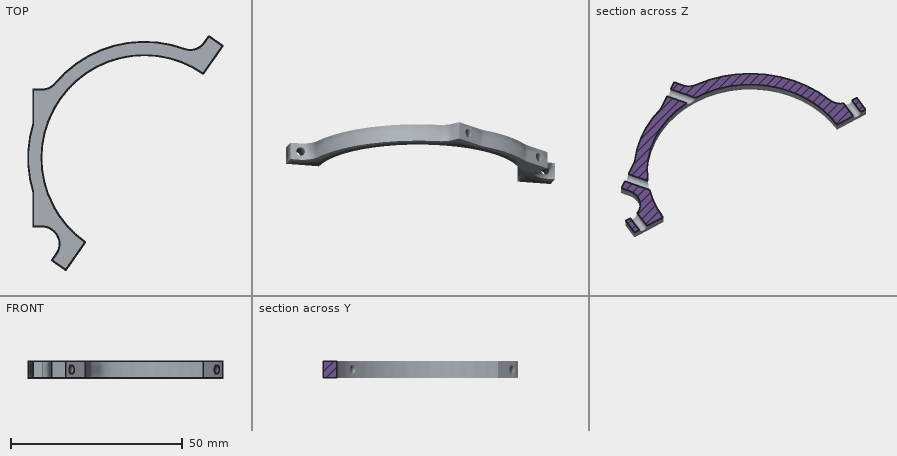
import cadquery as cq
import math

inner_radius = 30.0
outer_radius = 34.0
thickness = 5.0
split_angle = 55

tab_tip_radius = 40.0
tab_width = 5.0
tab_hole_radius = 37.0

pad_half_height = 20.05
pad_chord_half_height = 10.0
pad_face_x = -math.sqrt(outer_radius**2 - pad_chord_half_height**2)
pad_hole_y = 16.0

fillet_radius = 5.0
hole_diameter = 2.5

fillet_center_radius = outer_radius + fillet_radius


def ring_point(radius, angle):
    """Point at a polar position around the ring axis, angle in radians."""
    return radius * math.cos(angle), radius * math.sin(angle)


def prism(points):
    return cq.Workplane("XY").polyline(points).close().extrude(thickness)


def fillet_web(edge_offset):
    """Web between the ring and an edge lying along +X at y = edge_offset.

    The web fills the corner below its fillet, which lies on the +Y side of the edge.
    """
    center_y = edge_offset + fillet_radius
    center_x = math.sqrt(fillet_center_radius**2 - center_y**2)
    contact = ring_point(outer_radius, math.atan2(center_y, center_x))
    inner_x = math.sqrt(inner_radius**2 - edge_offset**2)
    corner = prism([(inner_x, edge_offset), (center_x, edge_offset), (center_x, center_y), contact])
    round_cut = cq.Workplane("XY").center(center_x, center_y).circle(fillet_radius).extrude(thickness)
    return corner.cut(round_cut)


def half_ring():
    disc = cq.Workplane("XY").circle(outer_radius).extrude(thickness)
    half = cq.Workplane("XY").rect(2 * outer_radius, outer_radius, centered=(True, False)).extrude(thickness)
    return disc.intersect(half).rotate((0, 0, 0), (0, 0, 1), split_angle)


def upper_tab():
    """Tab with its fillet, built along +X and turned to the split plane."""
    start = (inner_radius + outer_radius) / 2
    tab = cq.Workplane("XY").center(start, 0)
    tab = tab.rect(tab_tip_radius - start, tab_width, centered=False).extrude(thickness)
    return tab.union(fillet_web(tab_width)).rotate((0, 0, 0), (0, 0, 1), split_angle)


def lower_tab():
    """Mirror image of the upper tab about the middle of the half ring."""
    middle_angle = math.radians(split_angle + 90)
    middle_normal = (-math.sin(middle_angle), math.cos(middle_angle), 0)
    return upper_tab().mirror(cq.Vector(*middle_normal), (0, 0, 0))


def upper_pad():
    """Pad block from the flat face into the ring, with its fillet."""
    edge_contact_x = -math.sqrt(outer_radius**2 - pad_half_height**2)
    block = prism([
        (pad_face_x, pad_chord_half_height),
        (pad_face_x, pad_half_height),
        (edge_contact_x, pad_half_height),
    ])
    return block.union(fillet_web(pad_half_height).mirror("YZ"))


def pad_hole(y):
    plane = cq.Plane((pad_face_x, y, thickness / 2), (0, 1, 0), (1, 0, 0))
    return cq.Workplane(plane).circle(hole_diameter / 2).extrude(-pad_face_x)


def tab_hole(side):
    """Hole square to the split plane; side is +1 for the upper tab, -1 for the lower."""
    angle = math.radians(split_angle)
    x, y = ring_point(side * tab_hole_radius, angle)
    into_tab = (-math.sin(angle), math.cos(angle), 0)
    plane = cq.Plane((x, y, thickness / 2), (0, 0, 1), into_tab)
    return cq.Workplane(plane).circle(hole_diameter / 2).extrude(2 * tab_width)


body = half_ring().union(upper_tab()).union(lower_tab())
body = body.union(upper_pad()).union(upper_pad().mirror("XZ"))
body = body.cut(cq.Workplane("XY").circle(inner_radius).extrude(thickness))

for side in (1, -1):
    body = body.cut(pad_hole(side * pad_hole_y))
    body = body.cut(tab_hole(side))

result = body